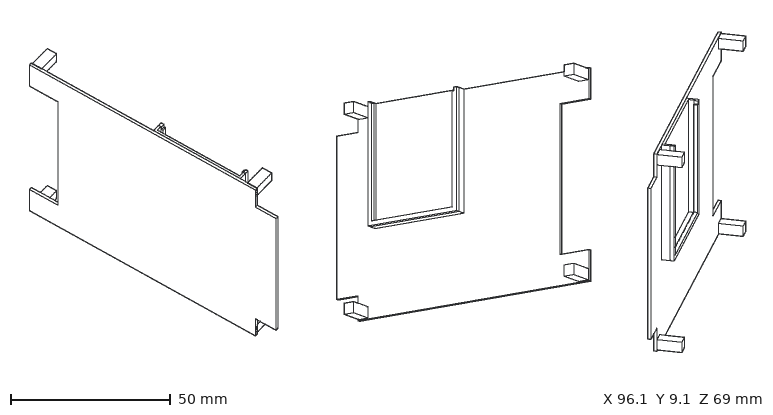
import cadquery as cq

plate_length = 96.1
plate_height = 69.0
plate_thickness = 1.1
left_recess_depth = 11.05
left_recess_margin = 10.1
right_notch_length = 8.1
right_notch_height = 8.1

post_side = 3.65
post_length = 8.0
post_inset = 0.3

socket_left = 47.6
socket_width = 33.8
socket_height = 40.2
tray_depth = 2.7
frame_depth = 1.3
wall = 0.9
left_mouth_wall = 1.2
left_lip_width = 1.7
right_lip_width = 1.4
left_lip_setback = 1.2
right_lip_setback = 0.5

plate_shoulder = plate_length - right_notch_length
socket_bottom = plate_height - socket_height
frame_start = plate_thickness + tray_depth


def box(x, y, z, length, depth, height):
    """Box with its lowest corner at (x, y, z)."""
    return cq.Workplane("XY").box(length, depth, height, centered=False).translate((x, y, z))


def make_plate():
    """Plate with a recess in its left edge and notches in its right corners."""
    plate = box(0, 0, 0, plate_length, plate_thickness, plate_height)
    recess_height = plate_height - 2 * left_recess_margin
    plate = plate.cut(box(0, 0, left_recess_margin, left_recess_depth, plate_thickness, recess_height))
    for z in (0, plate_height - right_notch_height):
        notch = box(plate_shoulder, 0, z, right_notch_length, plate_thickness, right_notch_height)
        plate = plate.cut(notch)
    return plate


def make_post(x, z):
    """Post on the front face of the plate."""
    return box(x, plate_thickness, z, post_side, post_length, post_side)


def socket_opening(y, depth, left_wall, right_wall, bottom):
    """Space between the side walls, from the height bottom up to the open end."""
    width = socket_width - left_wall - right_wall
    return box(socket_left + left_wall, y, bottom, width, depth, plate_height - bottom)


def make_tray():
    """Shallow tray with a floor and three walls."""
    tray = box(socket_left, plate_thickness, socket_bottom, socket_width, tray_depth, socket_height)
    floor_face = plate_thickness + wall
    return tray.cut(socket_opening(floor_face, tray_depth, wall, wall, socket_bottom + wall))


def make_frame():
    """Three-sided frame whose lips overhang the tray and stop short of the open end."""
    frame = box(socket_left, frame_start, socket_bottom, socket_width, frame_depth, socket_height)
    window_bottom = socket_bottom + right_lip_width
    frame = frame.cut(
        socket_opening(frame_start, frame_depth, left_lip_width, right_lip_width, window_bottom)
    )
    left_lip_top = plate_height - left_lip_setback
    right_lip_top = plate_height - right_lip_setback
    frame = frame.cut(
        socket_opening(frame_start, frame_depth, left_mouth_wall, right_lip_width, left_lip_top)
    )
    return frame.cut(socket_opening(frame_start, frame_depth, left_lip_width, wall, right_lip_top))


post_columns = (post_inset, plate_shoulder - post_inset - post_side)
post_rows = (post_inset, plate_height - post_inset - post_side)

plate = make_plate()
posts = [make_post(x, z) for x in post_columns for z in post_rows]
tray = make_tray()
frame = make_frame()

result = cq.Compound.makeCompound(
    [plate.val(), *[post.val() for post in posts], tray.val(), frame.val()]
)